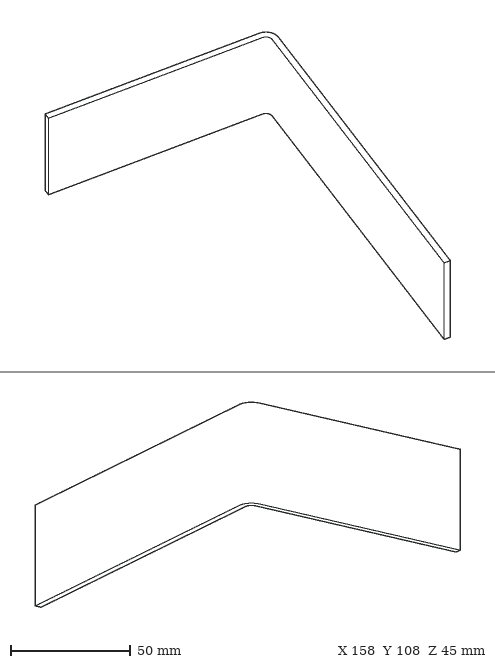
import cadquery as cq

length_x = 158.0
length_y = 108.0
height = 45.0
thickness = 3.0
inner_bend_radius = 3.0
outer_bend_radius = inner_bend_radius + thickness


def angle_blank():
    """Sharp-cornered L with its outer corner on the Z axis, legs along +X and -Y."""
    profile = [
        (0, 0),
        (length_x, 0),
        (length_x, -thickness),
        (thickness, -thickness),
        (thickness, -length_y),
        (0, -length_y),
    ]
    return cq.Workplane("XY").polyline(profile).close().extrude(height)


def round_bend(angle):
    """Round the inner and outer corner edges about one shared bend axis."""
    inner_corner = cq.selectors.NearestToPointSelector((thickness, -thickness, height / 2))
    outer_corner = cq.selectors.NearestToPointSelector((0, 0, height / 2))
    angle = angle.edges("|Z").edges(inner_corner).fillet(inner_bend_radius)
    return angle.edges("|Z").edges(outer_corner).fillet(outer_bend_radius)


result = round_bend(angle_blank())